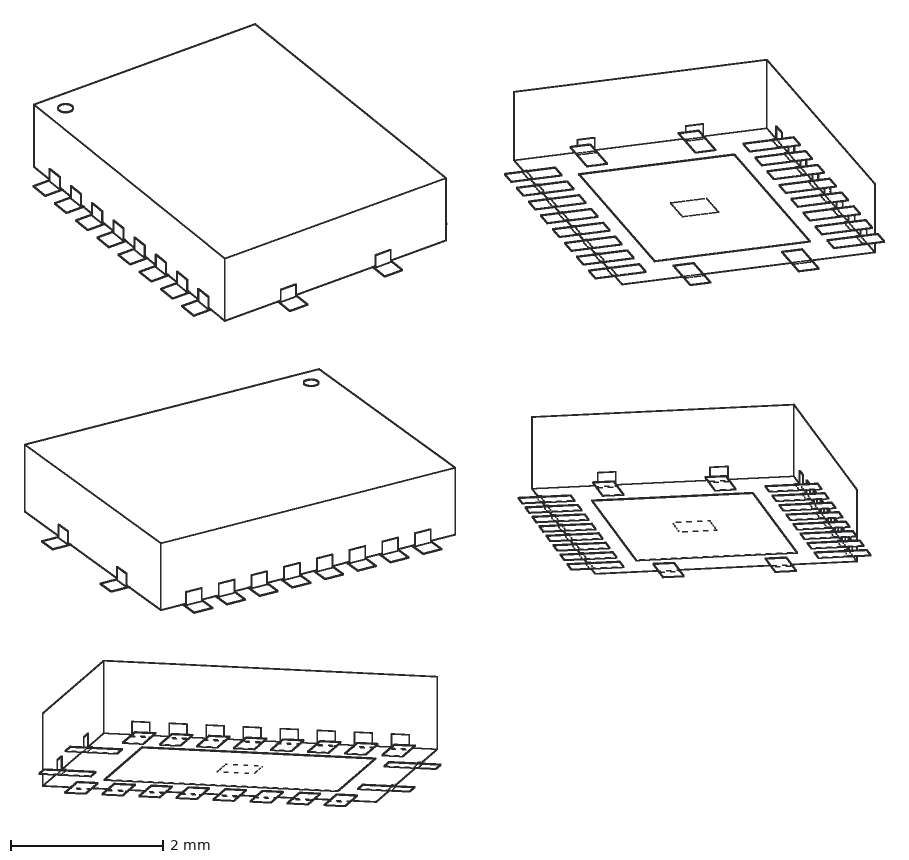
import cadquery as cq

footprint_x = 5.0
footprint_y = 4.0
height = 1.0

lead_reach = 0.25
body_standoff = 0.025
body_x = footprint_x - 2 * lead_reach
body_y = footprint_y - 2 * lead_reach

foot_thickness = 0.01
foot_length = 0.7
foot_width = 0.28
plate_top = 0.2
plate_width = 0.24
plate_proud = 0.01
plate_embedded = 0.05
lead_pitch = 0.5
long_side_leads = 8
end_lead_spacing = 1.5
end_leads = 2

center_pad_x = 3.15
center_pad_y = 2.15
center_post_side = 0.5

mark_diameter = 0.2
mark_depth = 0.01
mark_inset = 0.3


def make_body():
    body_height = height - body_standoff
    body = cq.Workplane("XY").box(body_x, body_y, body_height, centered=(True, True, False))
    return body.translate((0, 0, body_standoff))


def make_lead(wall_distance):
    """One lead on the -Y side of a wall standing wall_distance from the centre."""
    foot = cq.Workplane("XY").box(foot_width, foot_length, foot_thickness, centered=(True, False, False))
    foot = foot.translate((0, -wall_distance - lead_reach, 0))
    plate_depth = plate_proud + plate_embedded
    plate = cq.Workplane("XY").box(plate_width, plate_depth, plate_top, centered=(True, False, False))
    plate = plate.translate((0, -wall_distance - plate_proud, 0))
    return foot.union(plate)


def make_lead_row(count, spacing, wall_distance, turn):
    """A centred row of leads, turned about Z onto its side of the body."""
    lead = make_lead(wall_distance)
    row = cq.Workplane("XY")
    for index in range(count):
        offset = (index - (count - 1) / 2) * spacing
        row = row.union(lead.translate((offset, 0, 0)))
    return row.rotate((0, 0, 0), (0, 0, 1), turn)


def make_center_pad():
    pad = cq.Workplane("XY").box(center_pad_x, center_pad_y, foot_thickness, centered=(True, True, False))
    post = cq.Workplane("XY").rect(center_post_side, center_post_side).extrude(body_standoff)
    return pad.union(post)


def make_mark():
    mark = cq.Workplane("XY").circle(mark_diameter / 2).extrude(mark_depth)
    return mark.translate((mark_inset - body_x / 2, mark_inset - body_y / 2, height - mark_depth))


result = make_body().union(make_center_pad())
for turn in (0, 180):
    result = result.union(make_lead_row(long_side_leads, lead_pitch, body_y / 2, turn))
    result = result.union(make_lead_row(end_leads, end_lead_spacing, body_x / 2, turn + 90))
result = result.cut(make_mark())